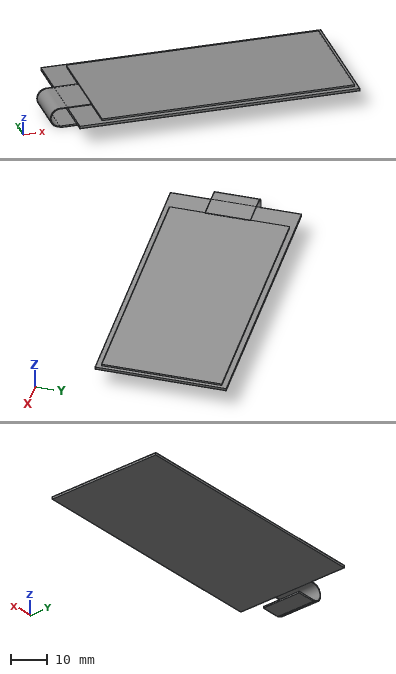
import cadquery as cq

total_length = 84.0
total_height = 6.1

panel_left = 4.95
panel_width = 36.7
panel_thickness = 0.75

film_left = 11.7
film_right_margin = 1.0
film_side_margin = 1.5
film_thickness = 0.5

tail_width = 12.7
tail_center_y = -0.6
tail_thickness = 0.25
tail_end = 9.0
stiffener_thickness = 0.25

tail_top = tail_thickness
tail_bottom = film_thickness - total_height + stiffener_thickness
bend_radius = (tail_top - tail_bottom) / 2
bend_inner_radius = bend_radius - tail_thickness
bend_center_z = (tail_top + tail_bottom) / 2


def block(left, right, width, bottom, height, center_y=0):
    """Box between two X positions, centred across its width."""
    box = cq.Workplane("XY").box(right - left, width, height, centered=(False, True, False))
    return box.translate((left, center_y, bottom))


def make_tail():
    """Thin strip with a half-round bend between its upper and lower runs."""
    profile = (
        cq.Workplane("XZ")
        .moveTo(film_left, tail_top)
        .lineTo(bend_radius, tail_top)
        .threePointArc((0, bend_center_z), (bend_radius, tail_bottom))
        .lineTo(tail_end, tail_bottom)
        .lineTo(tail_end, tail_bottom + tail_thickness)
        .lineTo(bend_radius, tail_bottom + tail_thickness)
        .threePointArc(
            (bend_radius - bend_inner_radius, bend_center_z),
            (bend_radius, tail_top - tail_thickness),
        )
        .lineTo(film_left, tail_top - tail_thickness)
        .close()
    )
    strip = profile.extrude(tail_width / 2, both=True)
    return strip.translate((0, tail_center_y, 0))


panel = block(panel_left, total_length, panel_width, -panel_thickness, panel_thickness)

film = block(
    film_left,
    total_length - film_right_margin,
    panel_width - 2 * film_side_margin,
    0,
    film_thickness,
)

stiffener = block(
    bend_radius,
    tail_end,
    tail_width,
    tail_bottom - stiffener_thickness,
    stiffener_thickness,
    tail_center_y,
)

result = panel.union(film).union(make_tail()).union(stiffener)